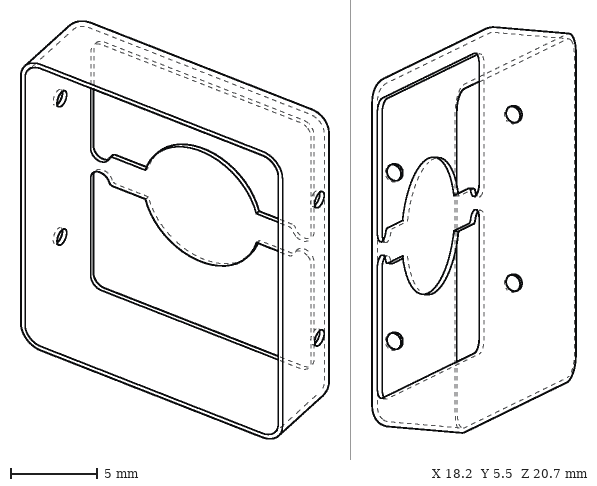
import math
import cadquery as cq

width = 18.2
depth = 5.5
height = 20.7
wall = 0.3
corner_radius = 1.4
floor_radius = 0.8

window_margin = 1.45
window_corner_radius = 0.75
disc_radius = 4.0
bridge_half_height = 1.05
notch_radius = 0.65
bridge_fillet = 0.3

hole_diameter = 1.0
hole_spacing = 10.0
hole_from_floor = 1.6


def rounded_block(size_x, size_y, size_z, edge_radius, back_radius):
    """Block from y = 0 to size_y with rounded Y edges and a rounded back face."""
    block = cq.Workplane("XY").box(size_x, size_y, size_z).translate((0, size_y / 2, 0))
    return block.edges("|Y").fillet(edge_radius).faces(">Y").edges().fillet(back_radius)


def make_shell():
    outer = rounded_block(width, depth, height, corner_radius, floor_radius)
    cavity = rounded_block(
        width - 2 * wall,
        depth - wall,
        height - 2 * wall,
        corner_radius - wall,
        floor_radius - wall,
    )
    return outer.cut(cavity)


def make_upper_window():
    """Cutter for the window above the bridge, reaching through the floor."""
    side = width / 2 - window_margin
    top = height / 2 - window_margin
    corner_inset = window_corner_radius * (1 - math.sqrt(0.5))

    notch_x = side - notch_radius
    notch_bottom = bridge_half_height - notch_radius

    center_distance = notch_radius + bridge_fillet
    fillet_x = notch_x - math.sqrt(center_distance**2 - bridge_fillet**2)
    fillet_z = bridge_half_height - bridge_fillet
    notch_share = notch_radius / center_distance
    touch_x = notch_x + (fillet_x - notch_x) * notch_share
    touch_z = bridge_half_height - bridge_fillet * notch_share
    touch_angle = math.asin(bridge_fillet / center_distance)
    fillet_middle_angle = (math.pi / 2 + touch_angle) / 2
    fillet_middle_x = fillet_x + bridge_fillet * math.cos(fillet_middle_angle)
    fillet_middle_z = fillet_z + bridge_fillet * math.sin(fillet_middle_angle)

    disc_x = math.sqrt(disc_radius**2 - bridge_half_height**2)

    outline = (
        cq.Workplane("XZ")
        .moveTo(-disc_x, bridge_half_height)
        .threePointArc((0, disc_radius), (disc_x, bridge_half_height))
        .lineTo(fillet_x, bridge_half_height)
        .threePointArc((fillet_middle_x, fillet_middle_z), (touch_x, touch_z))
        .threePointArc((notch_x, notch_bottom), (side, bridge_half_height))
        .lineTo(side, top - window_corner_radius)
        .threePointArc((side - corner_inset, top - corner_inset), (side - window_corner_radius, top))
        .lineTo(window_corner_radius - side, top)
        .threePointArc((corner_inset - side, top - corner_inset), (-side, top - window_corner_radius))
        .lineTo(-side, bridge_half_height)
        .threePointArc((-notch_x, notch_bottom), (-touch_x, touch_z))
        .threePointArc((-fillet_middle_x, fillet_middle_z), (-fillet_x, bridge_half_height))
        .close()
    )
    return outline.extrude(-depth)


def make_cross_holes():
    hole_y = depth - hole_from_floor
    return (
        cq.Workplane("YZ")
        .pushPoints([(hole_y, -hole_spacing / 2), (hole_y, hole_spacing / 2)])
        .circle(hole_diameter / 2)
        .extrude(width / 2, both=True)
    )


upper_window = make_upper_window()
lower_window = upper_window.mirror("XY")
result = make_shell().cut(upper_window).cut(lower_window).cut(make_cross_holes())